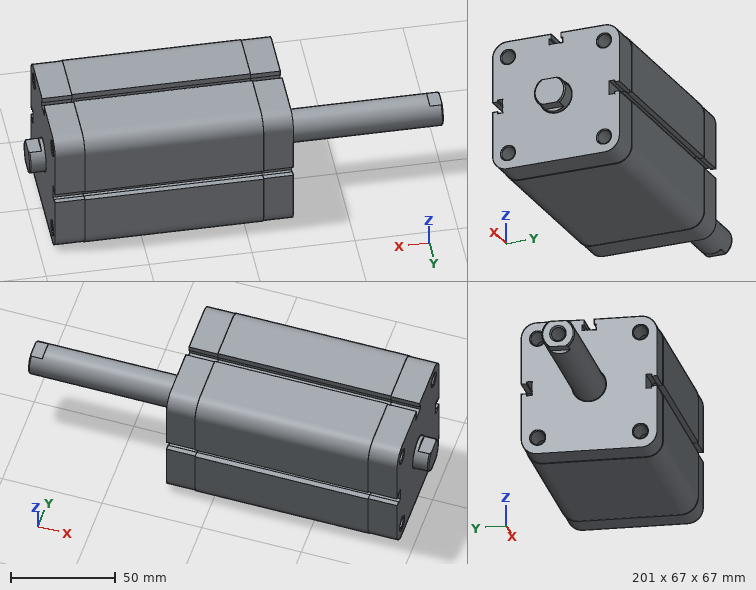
import cadquery as cq

rod_length = 201.0
front_face_x = 77.4
cap_length = 14.5
tube_length = 86.8
tube_start_x = front_face_x + cap_length
tube_end_x = tube_start_x + tube_length

tube_size = 67.0
tube_corner_radius = 8.5
cap_size = 66.1
cap_corner_radius = 7.6

bolt_spacing = 50.0
bolt_hole_diameter = 6.8
bolt_hole_chamfer = 0.5

slot_mouth_width = 5.0
slot_inner_width = 7.0
slot_lip_height = 30.5
slot_floor_height = 27.7
slot_angles = (0, 90, -90)

rod_diameter = 16.0
rod_end_chamfer = 0.6
rod_bore_chamfer = 0.45
flat_width = 12.9
front_flat_length = 6.0
rear_flat_length = 6.2
front_shoulder_slope = 0.2
rear_shoulder_slope = 0

thread_diameter = 6.6
thread_mouth_diameter = 8.0
thread_depth = 20.0
drill_tip_ratio = 0.6


def cross_section(x):
    """Workplane across the axis at x, facing +X."""
    return cq.Workplane("YZ", origin=(x, 0, 0))


def bolt_pattern(x):
    """Workplane at x with a point at each of the four bolt positions."""
    return cross_section(x).rect(bolt_spacing, bolt_spacing, forConstruction=True).vertices()


def slot_cutter(start_x, length):
    """T-shaped bar that opens through the +Z side."""
    outside = tube_size
    half_mouth = slot_mouth_width / 2
    half_inner = slot_inner_width / 2
    return (
        cross_section(start_x)
        .polyline([
            (-half_inner, slot_floor_height),
            (half_inner, slot_floor_height),
            (half_inner, slot_lip_height),
            (half_mouth, slot_lip_height),
            (half_mouth, outside),
            (-half_mouth, outside),
            (-half_mouth, slot_lip_height),
            (-half_inner, slot_lip_height),
        ])
        .close()
        .extrude(length)
    )


def slotted_block(size, corner_radius, start_x, length):
    """Square block with round corners, three T-slots, a rod bore and four bolt holes."""
    block = cross_section(start_x).rect(size, size).extrude(length)
    block = block.edges("|X").fillet(corner_radius)
    slot = slot_cutter(start_x, length)
    for angle in slot_angles:
        block = block.cut(slot.rotate((0, 0, 0), (1, 0, 0), angle))
    rod_bore = cross_section(start_x).circle(rod_diameter / 2).extrude(length)
    bolt_holes = bolt_pattern(start_x).circle(bolt_hole_diameter / 2).extrude(length)
    return block.cut(rod_bore).cut(bolt_holes)


def countersink(outer_x, inward, hole_diameter, chamfer):
    """Cone on the X axis that chamfers a hole entering at outer_x; inward is 1 for +X, -1 for -X."""
    radius = hole_diameter / 2
    base = cq.Vector(outer_x, 0, 0)
    return cq.Solid.makeCone(radius + chamfer, radius, chamfer, base, cq.Vector(inward, 0, 0))


def end_cap(start_x, outer_x):
    """Cap whose rod bore and bolt holes are chamfered at the outer face."""
    cap = slotted_block(cap_size, cap_corner_radius, start_x, cap_length)
    inward = 1 if outer_x == start_x else -1
    cap = cap.cut(cq.Workplane(countersink(outer_x, inward, rod_diameter, rod_bore_chamfer)))
    bolt_countersink = countersink(outer_x, inward, bolt_hole_diameter, bolt_hole_chamfer)
    for y in (-bolt_spacing / 2, bolt_spacing / 2):
        for z in (-bolt_spacing / 2, bolt_spacing / 2):
            cap = cap.cut(cq.Workplane(bolt_countersink.translate(cq.Vector(0, y, z))))
    return cap


def flat_cutter(length, shoulder_slope):
    """Bar above the upper wrench flat of the front end, closed by a shoulder at its inner end."""
    flat_z = flat_width / 2
    top_z = rod_diameter
    shoulder_run = shoulder_slope * (top_z - flat_z)
    return (
        cq.Workplane("XZ")
        .polyline([
            (0, flat_z),
            (length, flat_z),
            (length + shoulder_run, top_z),
            (0, top_z),
        ])
        .close()
        .extrude(rod_diameter / 2, both=True)
    )


def threaded_hole():
    """Blind hole from the front end with a countersunk mouth and a conical drill tip."""
    radius = thread_diameter / 2
    mouth_radius = thread_mouth_diameter / 2
    return (
        cq.Workplane("XY")
        .polyline([
            (0, 0),
            (0, mouth_radius),
            (mouth_radius - radius, radius),
            (thread_depth, radius),
            (thread_depth + drill_tip_ratio * radius, 0),
        ])
        .close()
        .revolve(360, (0, 0, 0), (1, 0, 0))
    )


def piston_rod():
    """Through rod with two wrench flats at each end and a threaded hole in the front end."""
    rod = cross_section(0).circle(rod_diameter / 2).extrude(rod_length)
    rod = rod.edges("%CIRCLE").chamfer(rod_end_chamfer)
    front_flat = flat_cutter(front_flat_length, front_shoulder_slope)
    rear_flat = flat_cutter(rear_flat_length, rear_shoulder_slope).mirror("YZ", (rod_length / 2, 0, 0))
    for upper_flat in (front_flat, rear_flat):
        rod = rod.cut(upper_flat).cut(upper_flat.mirror("XY"))
    return rod.cut(threaded_hole())


tube = slotted_block(tube_size, tube_corner_radius, tube_start_x, tube_length)
front_cap = end_cap(front_face_x, front_face_x)
rear_cap = end_cap(tube_end_x, tube_end_x + cap_length)
rod = piston_rod()

bodies = (tube, front_cap, rear_cap, rod)
result = cq.Compound.makeCompound([body.solids().val() for body in bodies])